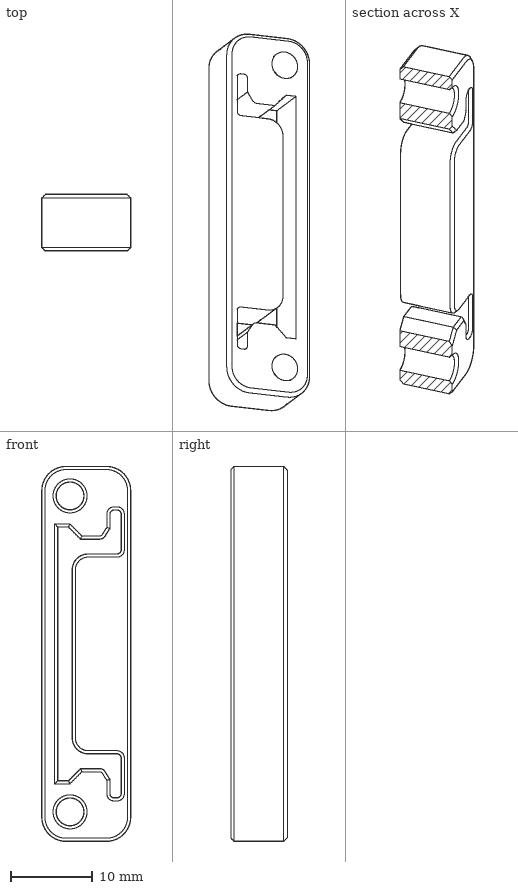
import cadquery as cq
import math

width = 11.0
thickness = 7.0
height = 46.3
corner_radius = 3.0
front_chamfer = 0.4
back_chamfer = 0.5

hole_diameter = 3.4
hole_spacing = 39.0
hole_from_left = 3.5

side_wall = 2.0
window_end_depth = 7.5
ledge_width = 1.3
bump_height = 1.5
bump_flat = 2.35
bump_shoulder_radius = 0.8
bump_slope_angle = math.radians(58)
bump_slope_height = 0.97

slot_right_wall = 1.2
slot_end_depth = 5.4
slot_corner_radius = 0.5

tongue_depth = 10.8
tongue_left_wall = 3.75
tongue_corner_radius = 2.0
tongue_root_radius = 0.5

back = thickness / 2
left = -width / 2
top = height / 2
window_left = left + side_wall
window_top = top - window_end_depth
ledge_end = window_left + ledge_width
bump_left = ledge_end + bump_height
bump_right = bump_left + bump_flat
bump_z = window_top - bump_height
slot_right = width / 2 - slot_right_wall
slope_start_x = bump_right + bump_shoulder_radius * math.sin(bump_slope_angle)
slope_start_z = bump_z + bump_shoulder_radius * (1 - math.cos(bump_slope_angle))
slope_end_z = slope_start_z + bump_slope_height
slot_left = slope_start_x + bump_slope_height / math.tan(bump_slope_angle)
slot_top = top - slot_end_depth
slot_arc_z = slot_top - slot_corner_radius
tongue_z = top - tongue_depth
tongue_left = left + tongue_left_wall
root_arc_z = tongue_z + tongue_root_radius
root_arc_x = slot_right - tongue_root_radius
tongue_arc_x = tongue_left + tongue_corner_radius
tongue_arc_z = tongue_z - tongue_corner_radius


def make_block():
    block = cq.Workplane("XY").box(width, thickness, height)
    block = block.edges("|Y").fillet(corner_radius)
    block = block.faces("<Y").edges().chamfer(front_chamfer)
    return block.faces(">Y").edges().chamfer(back_chamfer)


def make_half_window():
    """Upper half of the window, from the middle plane up to the relief slot."""
    return (
        cq.Workplane("XZ", origin=(0, back, 0))
        .moveTo(window_left, 0)
        .lineTo(window_left, window_top)
        .lineTo(ledge_end, window_top)
        .lineTo(bump_left, bump_z)
        .lineTo(bump_right, bump_z)
        .radiusArc((slope_start_x, slope_start_z), -bump_shoulder_radius)
        .lineTo(slot_left, slope_end_z)
        .lineTo(slot_left, slot_arc_z)
        .radiusArc((slot_left + slot_corner_radius, slot_top), slot_corner_radius)
        .lineTo(slot_right - slot_corner_radius, slot_top)
        .radiusArc((slot_right, slot_arc_z), slot_corner_radius)
        .lineTo(slot_right, root_arc_z)
        .radiusArc((root_arc_x, tongue_z), tongue_root_radius)
        .lineTo(tongue_arc_x, tongue_z)
        .radiusArc((tongue_left, tongue_arc_z), -tongue_corner_radius)
        .lineTo(tongue_left, 0)
        .close()
        .extrude(thickness)
    )


def make_window():
    upper = make_half_window()
    return upper.union(upper.mirror("XY")).clean()


def make_holes():
    return (
        cq.Workplane("XZ", origin=(0, back, 0))
        .pushPoints([(left + hole_from_left, side * hole_spacing / 2) for side in (1, -1)])
        .circle(hole_diameter / 2)
        .extrude(thickness)
    )


def chamfer_openings(body):
    """Chamfer the front rims of the window and the holes."""
    rims = body.faces("<Y").val().innerWires()
    edges = [edge for rim in rims for edge in rim.Edges()]
    return body.newObject(edges).chamfer(front_chamfer)


result = chamfer_openings(make_block().cut(make_window()).cut(make_holes()))